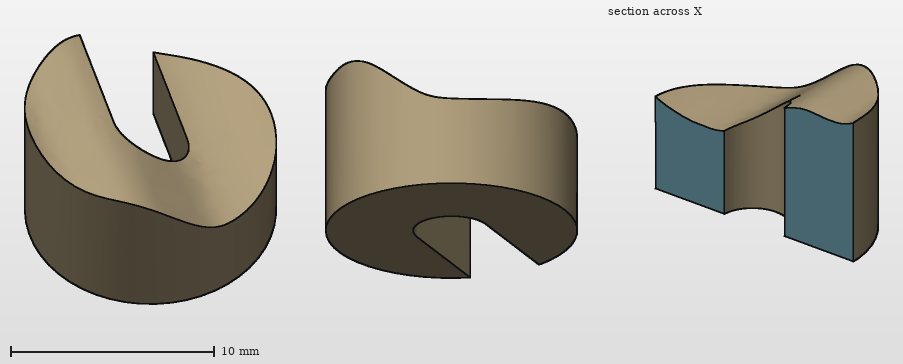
import cadquery as cq

outer_diameter = 12.39
slot_width = 3.77
outer_radius = outer_diameter / 2
slot_radius = slot_width / 2

peak_height = 7.77
saddle_height = 7.45
shoulder_height = 7.51
valley_height = 4.50
low_rim_height = 5.15

ramp_high = 6.40
ramp_low = 5.30
slot_edge_high = 7.17
slot_edge_low = 4.645
far_slope_height = 4.66

saddle_y = -4.2
shoulder_y = -3.15
ramp_offset = 0.7
valley_y = 3.0
far_slope_y = 4.7

top_wave = [
    (-outer_radius, peak_height),
    (saddle_y, saddle_height),
    (shoulder_y, shoulder_height),
    (-slot_radius, slot_edge_high),
    (-ramp_offset, ramp_high),
    (ramp_offset, ramp_low),
    (slot_radius, slot_edge_low),
    (valley_y, valley_height),
    (far_slope_y, far_slope_height),
    (outer_radius, low_rim_height),
]


def wave_block():
    """Solid under the wavy top, extruded along X over the full body width."""
    return (
        cq.Workplane("YZ")
        .moveTo(-outer_radius, 0)
        .lineTo(*top_wave[0])
        .spline(top_wave[1:], includeCurrent=True)
        .lineTo(outer_radius, 0)
        .close()
        .extrude(outer_diameter)
        .translate((-outer_radius, 0, 0))
    )


def cylinder(radius):
    """Upright cylinder on the Z axis, as tall as the highest rim."""
    return cq.Workplane("XY").circle(radius).extrude(peak_height)


def slot():
    """Round-ended slot through the full height, open toward -X."""
    straight_part = (
        cq.Workplane("XY")
        .rect(outer_diameter, slot_width)
        .extrude(peak_height)
        .translate((-outer_radius, 0, 0))
    )
    return straight_part.union(cylinder(slot_radius))


result = cylinder(outer_radius).cut(slot()).intersect(wave_block())